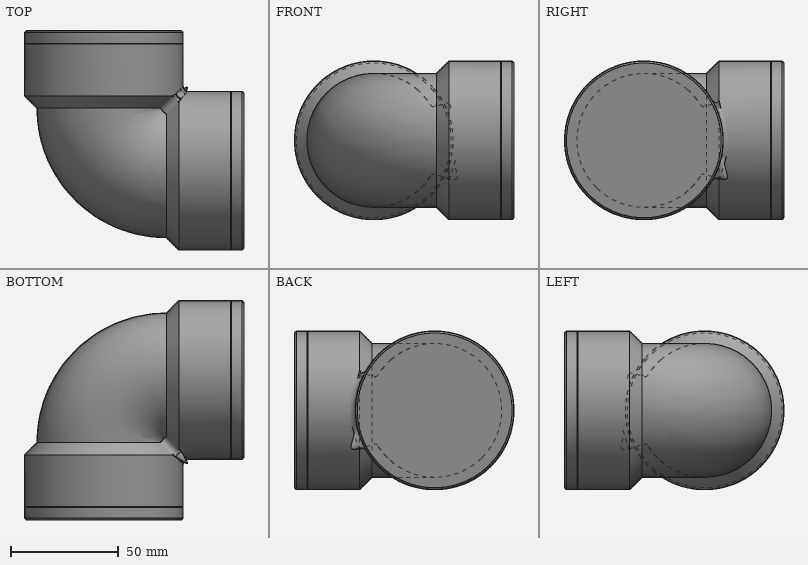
import cadquery as cq
import math

overall_length = 101.8
socket_diameter = 73.6
neck_diameter = 62.1
cone_start = 29.0
rim_chamfer = 0.9
groove_distance = 6.1
groove_width = 0.4
groove_depth = 0.1
crease_fillet = 2.3

socket_radius = socket_diameter / 2
neck_radius = neck_diameter / 2
face_distance = overall_length - socket_radius
cone_length = socket_radius - neck_radius
cone_end = cone_start + cone_length


def make_socket():
    """Socket along +X: cone, cylinder and chamfered rim."""
    return (
        cq.Workplane("XY")
        .moveTo(cone_start, 0)
        .lineTo(cone_start, neck_radius)
        .lineTo(cone_end, socket_radius)
        .lineTo(face_distance - rim_chamfer, socket_radius)
        .lineTo(face_distance, socket_radius - rim_chamfer)
        .lineTo(face_distance, 0)
        .close()
        .revolve(360, (0, 0, 0), (1, 0, 0))
    )


def make_groove():
    """Ring that cuts the shallow groove around the +X socket."""
    return (
        cq.Workplane("YZ", origin=(face_distance - groove_distance - groove_width / 2, 0, 0))
        .circle(socket_radius + groove_depth)
        .circle(socket_radius - groove_depth)
        .extrude(groove_width)
    )


def turn_to_y(shape):
    """Mirror a +X feature across the X = Y plane, giving its +Y twin."""
    return shape.mirror("YZ").rotate((0, 0, 0), (0, 0, 1), -90)


def make_bend():
    """Quarter turn about the inner corner; the axis cuts off the neck circle."""
    corner_height = math.sqrt(neck_radius**2 - cone_start**2)
    return (
        cq.Workplane("YZ", origin=(cone_start, 0, 0))
        .moveTo(cone_start, -corner_height)
        .threePointArc((-neck_radius, 0), (cone_start, corner_height))
        .close()
        .revolve(90, (cone_start, 0, 0), (cone_start, -1, 0))
    )


socket = make_socket()
sockets = socket.union(turn_to_y(socket))

margin = 0.1
crease_zone = cq.selectors.BoxSelector(
    (cone_start - margin, cone_start - margin, -socket_radius),
    (socket_radius + margin, socket_radius + margin, socket_radius),
    boundingbox=True,
)
body = sockets.union(make_bend())
body = body.edges(crease_zone).fillet(crease_fillet)

groove = make_groove()
result = body.cut(groove).cut(turn_to_y(groove))